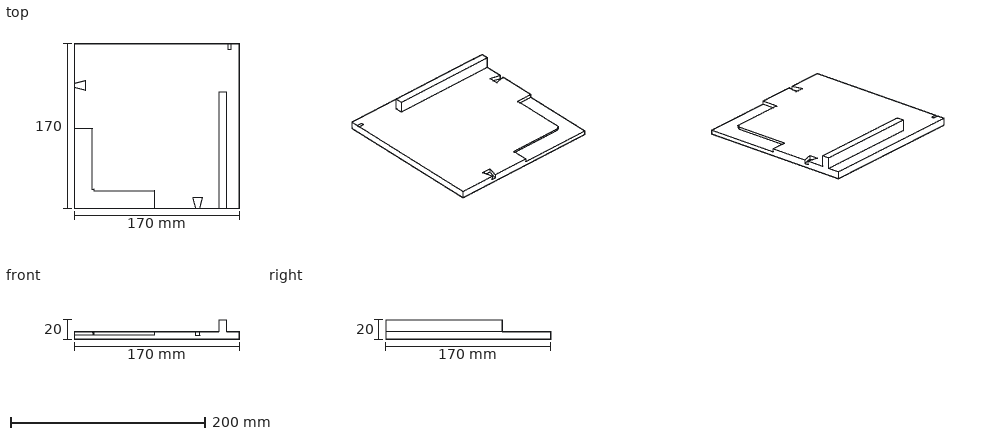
import cadquery as cq

plate_side = 170.0
plate_thickness = 8.0

rail_left = 149.0
rail_width = 8.0
rail_length = 120.0
rail_height = 12.0

step_depth = 3.5
step_floor_z = plate_thickness - step_depth
step_top_width = 18.25
step_floor_width = 20.0
step_length = 82.5

socket_center = 127.0
socket_mouth = 4.0
socket_back = 10.0
socket_length = 11.6
socket_depth = 4.0

groove_diameter = 5.0
groove_x = 160.0
groove_length = 6.0
groove_axis_height = 2.0
groove_axis_z = plate_thickness + groove_axis_height


def swap_x_and_y(shape):
    return shape.rotate((0, 0, 0), (0, 0, 1), 90).mirror("YZ")


def make_plate():
    return cq.Workplane("XY").box(plate_side, plate_side, plate_thickness, centered=False)


def make_rail():
    return (
        cq.Workplane("XY", origin=(rail_left, 0, plate_thickness))
        .box(rail_width, rail_length, rail_height, centered=False)
    )


def make_corner_step():
    front_leg = (
        cq.Workplane("YZ")
        .polyline([
            (0, step_floor_z),
            (step_floor_width, step_floor_z),
            (step_top_width, plate_thickness),
            (0, plate_thickness),
        ])
        .close()
        .extrude(step_length)
    )
    left_leg = swap_x_and_y(front_leg)
    corner_relief = (
        cq.Workplane("XY", origin=(0, 0, step_floor_z))
        .box(step_floor_width, step_floor_width, step_depth, centered=False)
    )
    return front_leg.union(left_leg).union(corner_relief)


def make_front_socket():
    return (
        cq.Workplane("XY", origin=(socket_center, 0, plate_thickness))
        .polyline([
            (-socket_mouth / 2, 0),
            (socket_mouth / 2, 0),
            (socket_back / 2, socket_length),
            (-socket_back / 2, socket_length),
        ])
        .close()
        .extrude(-socket_depth)
    )


def make_groove():
    return (
        cq.Workplane("XZ", origin=(groove_x, plate_side, groove_axis_z))
        .circle(groove_diameter / 2)
        .extrude(groove_length)
    )


result = (
    make_plate()
    .union(make_rail())
    .cut(make_corner_step())
    .cut(make_front_socket())
    .cut(swap_x_and_y(make_front_socket()))
    .cut(make_groove())
)